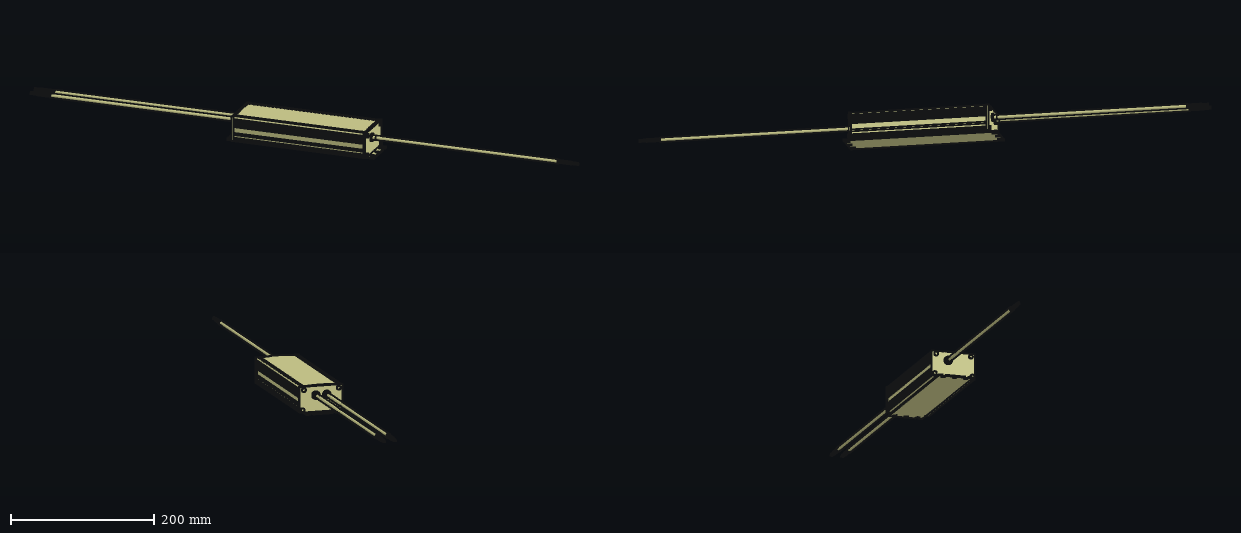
import cadquery as cq
import math

overall_length = 818.0
overall_width = 63.4
overall_height = 39.91

cap_thickness = 3.0
housing_length = 200.0
profile_length = housing_length - 2 * cap_thickness
shoulder_height = 38.4
foot_thickness = 2.0
crown_half_width = 25.2
crown_drop = 1.0
top_groove_width = 2.4
top_groove_depth = 1.5
shoulder_radius = 2.1
wall_inset = 0.4

fin_pitch = 2.4
fin_groove_width = 1.1
fin_groove_depth = 1.2
fin_groove_count = 5
lowest_fin_groove = 23.8
side_recess_bottom = 7.0
side_recess_top = 22.9
side_recess_depth = 1.2
base_groove_bottom = 3.6
base_groove_top = 5.2
rail_bottom = 11.2
rail_top = 14.0

foot_length = 219.0
foot_width = 49.2
slot_width = 5.0
slot_spacing = 33.4
slot_depth = 7.5
foot_hole_diameter = 5.0
foot_hole_edge_distance = 3.9

screw_diameter = 5.6
screw_head_height = 1.8
screw_embedment = 1.0
upper_screw_y = 25.6
upper_screw_z = 34.0
lower_screw_y = 27.7
lower_screw_z = 5.4

cable_y = 8.0
cable_z = 25.6
cable_diameter = 6.5
flange_diameter = 10.9
flange_thickness = 1.8
neck_diameter = 6.8
neck_length = 7.2
stripped_length = 30.0
bare_length = 10.0
conductor_diameter = 1.2
left_wire_diameter = 2.4
right_wire_diameter = 2.15
wire_count = 3
cable_embedment = 5.0

cap_face = housing_length / 2
cable_end = overall_length / 2


def box(length, width, bottom, top, y=0.0):
    """Block centred on X = 0, running from height `bottom` to `top`."""
    return (
        cq.Workplane("XY", origin=(0, y, bottom))
        .box(length, width, top - bottom, centered=(True, True, False))
    )


def rod(side, start, end, diameter, y, z):
    """Round bar along X on the chosen end (side = -1 or +1), between distances from the centre."""
    return (
        cq.Workplane("YZ", origin=(side * start, y, z))
        .circle(diameter / 2)
        .extrude(side * (end - start))
    )


def make_profile():
    """Extruded body with a gently crowned top and grooved sides."""
    half_width = overall_width / 2
    wall_y = half_width - wall_inset
    bead_y = half_width - shoulder_radius
    bead_z = shoulder_height - shoulder_radius
    bead_bottom = bead_z - math.sqrt(shoulder_radius**2 - (shoulder_radius - wall_inset) ** 2)
    crown_edge = overall_height - crown_drop
    body = (
        cq.Workplane("YZ", origin=(-profile_length / 2, 0, 0))
        .moveTo(-wall_y, foot_thickness)
        .lineTo(wall_y, foot_thickness)
        .lineTo(wall_y, bead_bottom)
        .threePointArc((half_width, bead_z), (bead_y, shoulder_height))
        .lineTo(crown_half_width, shoulder_height)
        .lineTo(crown_half_width, crown_edge)
        .threePointArc((0, overall_height), (-crown_half_width, crown_edge))
        .lineTo(-crown_half_width, shoulder_height)
        .lineTo(-bead_y, shoulder_height)
        .threePointArc((-half_width, bead_z), (-wall_y, bead_bottom))
        .close()
        .extrude(profile_length)
    )
    for side in (-1, 1):
        groove_y = side * (crown_half_width + top_groove_width / 2)
        groove_bottom = shoulder_height - top_groove_depth
        body = body.cut(box(profile_length, top_groove_width, groove_bottom, shoulder_height, groove_y))
        for index in range(fin_groove_count):
            bottom = lowest_fin_groove + index * fin_pitch
            body = body.cut(
                box(profile_length, 2 * fin_groove_depth, bottom, bottom + fin_groove_width, side * wall_y)
            )
        recesses = (
            (base_groove_bottom, base_groove_top),
            (side_recess_bottom, rail_bottom),
            (rail_top, side_recess_top),
        )
        for bottom, top in recesses:
            body = body.cut(box(profile_length, 2 * side_recess_depth, bottom, top, side * wall_y))
    return body


def make_cap(side):
    """Flat plate closing one end of the housing."""
    cap = box(cap_thickness, overall_width, foot_thickness, shoulder_height)
    return cap.translate((side * (cap_face - cap_thickness / 2), 0, 0))


def make_foot():
    """Base plate with two open-ended slots and a round hole at each end."""
    foot = box(foot_length, foot_width, 0, foot_thickness)
    for side in (-1, 1):
        for y in (-slot_spacing / 2, slot_spacing / 2):
            slot_center = side * (foot_length / 2 - slot_depth + slot_width / 2)
            round_end = (
                cq.Workplane("XY", origin=(slot_center, y, 0))
                .circle(slot_width / 2)
                .extrude(foot_thickness)
            )
            straight = box(2 * (slot_depth - slot_width / 2), slot_width, 0, foot_thickness, y)
            foot = foot.cut(round_end).cut(straight.translate((side * foot_length / 2, 0, 0)))
        hole_x = side * (foot_length / 2 - foot_hole_edge_distance)
        hole = (
            cq.Workplane("XY", origin=(hole_x, 0, 0))
            .circle(foot_hole_diameter / 2)
            .extrude(foot_thickness)
        )
        foot = foot.cut(hole)
    return foot


def make_screws(side):
    """Four screw heads standing on the corners of an end cap."""
    screws = cq.Workplane("XY")
    start = cap_face - screw_embedment
    end = cap_face + screw_head_height
    for y, z in ((lower_screw_y, lower_screw_z), (upper_screw_y, upper_screw_z)):
        for mirrored_y in (-y, y):
            screws = screws.add(rod(side, start, end, screw_diameter, mirrored_y, z))
    return screws.combine()


def make_cable(side, y, wire_diameter):
    """Gland, cable sheath and stripped wires with bare conductor tips."""
    sheath_end = cable_end - stripped_length
    neck_end = cap_face + neck_length
    cable = rod(side, cap_face - cable_embedment, sheath_end, cable_diameter, y, cable_z)
    cable = cable.union(
        rod(side, cap_face - cable_embedment, cap_face + flange_thickness, flange_diameter, y, cable_z)
    )
    cable = cable.union(rod(side, cap_face - cable_embedment, neck_end, neck_diameter, y, cable_z))
    ring_radius = wire_diameter / 2 / math.sin(math.pi / wire_count)
    for index in range(wire_count):
        angle = math.pi / 2 + 2 * math.pi * index / wire_count
        wire_y = y + ring_radius * math.cos(angle)
        wire_z = cable_z + ring_radius * math.sin(angle)
        cable = cable.union(
            rod(side, sheath_end - cable_embedment, cable_end - bare_length, wire_diameter, wire_y, wire_z)
        )
        cable = cable.union(
            rod(side, sheath_end - cable_embedment, cable_end, conductor_diameter, wire_y, wire_z)
        )
    return cable


result = make_profile().union(make_foot())
for end in (-1, 1):
    result = result.union(make_cap(end)).union(make_screws(end))
result = result.union(make_cable(-1, cable_y, left_wire_diameter))
result = result.union(make_cable(-1, -cable_y, left_wire_diameter))
result = result.union(make_cable(1, -cable_y, right_wire_diameter))